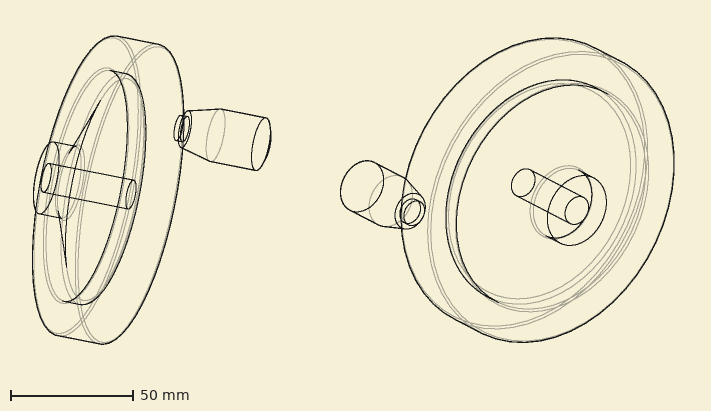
import cadquery as cq
import math


wheel_diameter = 125.0
rim_width = 19.9
rim_start = 17.1
rim_end = rim_start + rim_width
rim_edge_radius = 0.9
dish_diameter = 96.31

hub_diameter = 30.0
bore_diameter = 12.0

web_start = 10.5
web_half_angle = math.radians(64.0)
web_outer_diameter = 92.5
web_end = web_start + (dish_diameter - hub_diameter) / 2 / math.tan(web_half_angle)
web_fillet_radius = (dish_diameter - web_outer_diameter) / 2 / (1 + math.cos(web_half_angle))

grip_offset = 55.32
pin_diameter = 10.56
grip_base_diameter = 15.4
grip_diameter = 22.0
pin_exposed_length = 2.8
grip_start = rim_end + pin_exposed_length
grip_taper_length = 13.4
grip_straight_start = grip_start + grip_taper_length
grip_straight_end = 73.0
grip_end = 75.95


def fillet_circle(body, x, diameter, radius):
    """Fillet the circular edge that lies on the wheel axis at x."""
    tolerance = 0.01

    def matches(edge):
        box = edge.BoundingBox()
        same_plane = abs(box.xmin - x) < tolerance and abs(box.xmax - x) < tolerance
        same_size = edge.geomType() == "CIRCLE" and abs(2 * edge.radius() - diameter) < tolerance
        return same_plane and same_size

    chosen = [edge for edge in body.edges().vals() if matches(edge)]
    return body.newObject(chosen).fillet(radius)


def make_wheel():
    """Revolve the rim, dished web and bored hub about X, then round the edges."""
    wheel_radius = wheel_diameter / 2
    hub_radius = hub_diameter / 2
    dish_radius = dish_diameter / 2
    bore_radius = bore_diameter / 2
    profile = (
        cq.Workplane("XY")
        .moveTo(0, bore_radius)
        .lineTo(0, hub_radius)
        .lineTo(web_start, hub_radius)
        .lineTo(web_end, dish_radius)
        .lineTo(rim_start, dish_radius)
        .lineTo(rim_start, wheel_radius)
        .lineTo(rim_end, wheel_radius)
        .lineTo(rim_end, bore_radius)
        .close()
    )
    wheel = profile.revolve(360, (0, 0, 0), (1, 0, 0))
    wheel = fillet_circle(wheel, web_start, hub_diameter, web_fillet_radius)
    wheel = fillet_circle(wheel, web_end, dish_diameter, web_fillet_radius)
    wheel = fillet_circle(wheel, rim_start, dish_diameter, rim_edge_radius)
    wheel = fillet_circle(wheel, rim_start, wheel_diameter, rim_edge_radius)
    return fillet_circle(wheel, rim_end, wheel_diameter, rim_edge_radius)


def make_grip():
    """Revolve the pin and the tapered, dome-ended grip about their own axis."""
    grip_radius = grip_diameter / 2
    dome_height = grip_end - grip_straight_end
    dome_radius = (grip_radius**2 + dome_height**2) / (2 * dome_height)
    dome_half_angle = math.asin(grip_radius / dome_radius) / 2
    dome_mid_x = grip_end - dome_radius * (1 - math.cos(dome_half_angle))
    dome_mid_r = dome_radius * math.sin(dome_half_angle)
    profile = (
        cq.Workplane("XY")
        .moveTo(rim_end, 0)
        .lineTo(rim_end, pin_diameter / 2)
        .lineTo(grip_start, pin_diameter / 2)
        .lineTo(grip_start, grip_base_diameter / 2)
        .lineTo(grip_straight_start, grip_radius)
        .lineTo(grip_straight_end, grip_radius)
        .threePointArc((dome_mid_x, dome_mid_r), (grip_end, 0))
        .close()
    )
    return profile.revolve(360, (0, 0, 0), (1, 0, 0)).translate((0, grip_offset, 0))


result = make_wheel().union(make_grip())